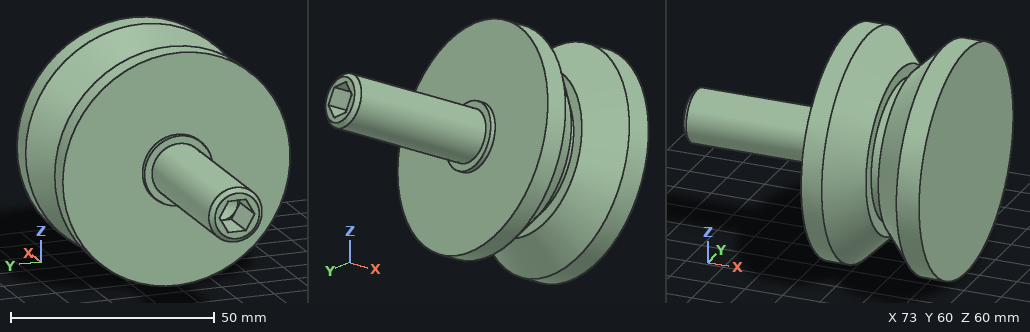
import cadquery as cq
import math

total_length = 73.0
wheel_width = 31.5
wheel_radius = 30.0
front_rim_width = 5.55
back_rim_width = 6.05
flank_depth = 8.3
groove_radius = 18.4
collar_thickness = 1.4
collar_radius = 9.0
shaft_radius = 7.0
shaft_chamfer = 1.2
hex_across_flats = 8.0
hex_depth = 10.0
drill_tip_angle = 120.0

shaft_end = -total_length / 2
wheel_back = total_length / 2
wheel_front = wheel_back - wheel_width
collar_front = wheel_front - collar_thickness
flank_radius = wheel_radius - flank_depth
front_rim_edge = wheel_front + front_rim_width
back_rim_edge = wheel_back - back_rim_width
groove_front = front_rim_edge + flank_depth
groove_back = back_rim_edge - flank_depth


def turned_body():
    """Revolve the half profile of shaft, collar and grooved wheel."""
    profile = [
        (shaft_end, 0),
        (shaft_end, shaft_radius - shaft_chamfer),
        (shaft_end + shaft_chamfer, shaft_radius),
        (collar_front, shaft_radius),
        (collar_front, collar_radius),
        (wheel_front, collar_radius),
        (wheel_front, wheel_radius),
        (front_rim_edge, wheel_radius),
        (groove_front, flank_radius),
        (groove_front, groove_radius),
        (groove_back, groove_radius),
        (groove_back, flank_radius),
        (back_rim_edge, wheel_radius),
        (wheel_back, wheel_radius),
        (wheel_back, 0),
    ]
    return cq.Workplane("XY").polyline(profile).close().revolve(360, (0, 0, 0), (1, 0, 0))


def hex_socket():
    """Hexagonal key socket with a conical drill tip at its bottom, corners along Y."""
    across_corners = hex_across_flats / math.cos(math.radians(30))
    tip_radius = hex_across_flats / 2
    tip_depth = tip_radius / math.tan(math.radians(drill_tip_angle / 2))
    socket_bottom = shaft_end + hex_depth
    hexagon = (
        cq.Workplane("YZ", origin=(shaft_end, 0, 0))
        .polygon(6, across_corners)
        .extrude(hex_depth)
    )
    drill_tip = cq.Solid.makeCone(
        tip_radius, 0, tip_depth, cq.Vector(socket_bottom, 0, 0), cq.Vector(1, 0, 0)
    )
    return hexagon.union(cq.Workplane(drill_tip))


result = turned_body().cut(hex_socket())